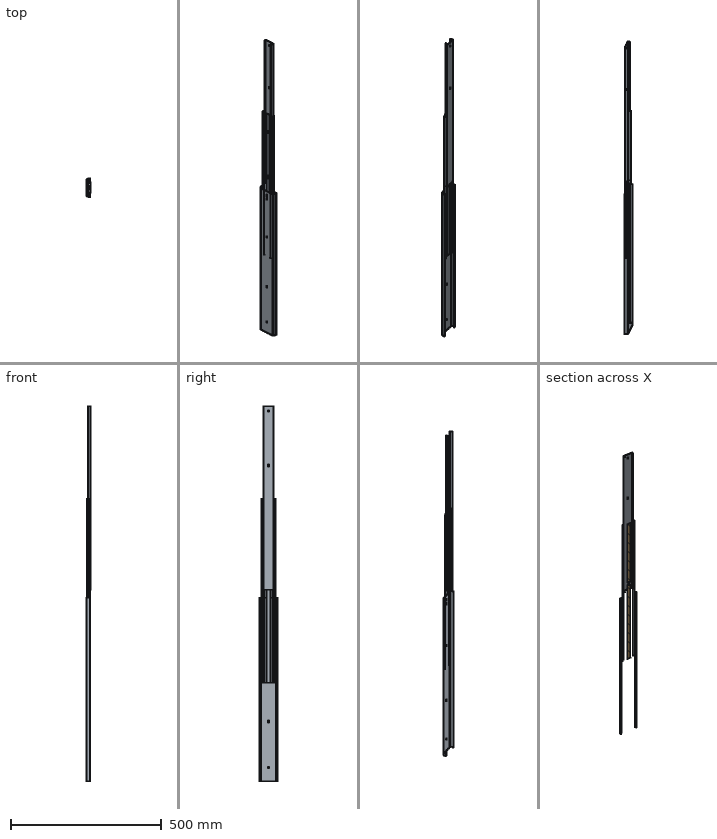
import cadquery as cq


total_length = 1244.6
member_length = 609.6
middle_top = 937.0
middle_bottom = middle_top - member_length
inner_bottom = total_length - member_length

outer_half_width = 62.99 / 2
outer_web_half_width = 24.4
outer_ridge_x = 1.6
outer_ridge_half_width = 28.0
outer_height = 13.3
outer_shoulder_x = 7.0
outer_opening_half_width = 25.5
outer_thickness = 1.5
outer_bend_radius = 20.0

middle_web_x = 2.4
middle_web_half_width = 13.5
middle_step_x = 6.0
middle_step_half_width = 16.9
middle_half_width = 24.0
middle_lip_x = 13.3
middle_opening_half_width = 18.2
middle_thickness = 1.2
middle_bend_radius = 3.0
groove_half_width = 12.8
groove_floor_half_width = 5.8
groove_floor_x = 7.5

inner_lip_x = 5.8
inner_web_x = 16.0
inner_half_width = 17.4
inner_shoulder_x = 9.5
inner_lip_half_width = 14.8
inner_opening_half_width = 11.5
inner_thickness = 1.5
inner_bend_radius = 5.0

hole_diameter = 4.2
slot_length = 7.0
outer_holes = [
    (591.5, slot_length),
    (576.5, slot_length),
    (412.5, hole_diameter),
    (198.0, slot_length),
    (46.0, hole_diameter),
]
inner_holes = [
    (1228.0, hole_diameter),
    (1047.0, slot_length),
]
middle_slot = (666.0, 13.0)
middle_slot_width = 5.0

stop_z = 861.0
stop_height = 7.0
stop_floor_x = groove_floor_x - 1.0

fold_tolerance = 0.05


def mirrored(half_points):
    """Close a half outline, given on the +Y side, by mirroring it about Y = 0."""
    other_half = [(x, -y) for x, y in reversed(half_points)]
    return half_points + other_half


def bend(body, bend_x, radius):
    """Round the two outside folds that run along Z at the given X."""
    folds = cq.selectors.BoxSelector(
        (bend_x - fold_tolerance, -2 * outer_half_width, -total_length),
        (bend_x + fold_tolerance, 2 * outer_half_width, total_length),
    )
    return body.edges("|Z").edges(folds).fillet(radius)


def channel(half_points, thickness, opening_half_width, opening_x, bottom, bend_x, bend_radius):
    """Folded sheet channel: a hollow profile with one wall opened between its two lips."""
    outline = cq.Workplane("XY", origin=(0, 0, bottom)).polyline(mirrored(half_points)).close()
    body = outline.extrude(member_length)
    body = bend(body, bend_x, bend_radius)
    profile = body.faces("<Z").wires().toPending()
    cavity = profile.offset2D(-thickness).extrude(member_length, combine=False)
    opening = (
        cq.Workplane("XY", origin=(opening_x, 0, bottom))
        .rect(4 * thickness, 2 * opening_half_width)
        .extrude(member_length)
    )
    return body.cut(cavity).cut(opening)


def web_slots(holes, width, web_x, thickness):
    """Cutters through a web, one round or elongated hole for each (Z, length)."""
    cutters = cq.Workplane("YZ")
    for z, length in holes:
        sketch = cq.Workplane("YZ", origin=(web_x - thickness, 0, z))
        if length > width:
            sketch = sketch.slot2D(length, width, 90)
        else:
            sketch = sketch.circle(width / 2)
        cutters = cutters.add(sketch.extrude(3 * thickness))
    return cutters.combine()


def make_outer():
    half = [
        (0, outer_web_half_width),
        (outer_ridge_x, outer_ridge_half_width),
        (outer_shoulder_x, outer_half_width),
        (outer_height, outer_half_width),
    ]
    body = channel(
        half, outer_thickness, outer_opening_half_width, outer_height, 0,
        outer_shoulder_x, outer_bend_radius,
    )
    return body.cut(web_slots(outer_holes, hole_diameter, 0, outer_thickness))


def make_stop():
    """Round trough that partly fills the groove of the middle channel."""
    trough_back_x = groove_floor_x + middle_thickness
    return (
        cq.Workplane("XY", origin=(0, 0, stop_z - stop_height / 2))
        .moveTo(middle_web_x, groove_half_width)
        .threePointArc((stop_floor_x, 0), (middle_web_x, -groove_half_width))
        .lineTo(trough_back_x, -groove_floor_half_width)
        .lineTo(trough_back_x, groove_floor_half_width)
        .close()
        .extrude(stop_height)
    )


def make_middle():
    half = [
        (groove_floor_x, groove_floor_half_width),
        (middle_web_x, groove_half_width),
        (middle_web_x, middle_web_half_width),
        (middle_step_x, middle_step_half_width),
        (middle_step_x, middle_half_width),
        (middle_lip_x, middle_half_width),
    ]
    body = channel(
        half, middle_thickness, middle_opening_half_width, middle_lip_x, middle_bottom,
        middle_lip_x, middle_bend_radius,
    )
    slot = web_slots([middle_slot], middle_slot_width, groove_floor_x, middle_thickness)
    return body.union(make_stop()).cut(slot)


def make_inner():
    half = [
        (inner_lip_x, inner_lip_half_width),
        (inner_shoulder_x, inner_half_width),
        (inner_web_x, inner_half_width),
    ]
    body = channel(
        half, inner_thickness, inner_opening_half_width, inner_lip_x, inner_bottom,
        inner_shoulder_x, inner_bend_radius,
    )
    web_inside_x = inner_web_x - inner_thickness
    return body.cut(web_slots(inner_holes, hole_diameter, web_inside_x, inner_thickness))


outer_channel = make_outer()
middle_channel = make_middle()
inner_channel = make_inner()

result = cq.Compound.makeCompound([
    outer_channel.val(),
    middle_channel.val(),
    inner_channel.val(),
])